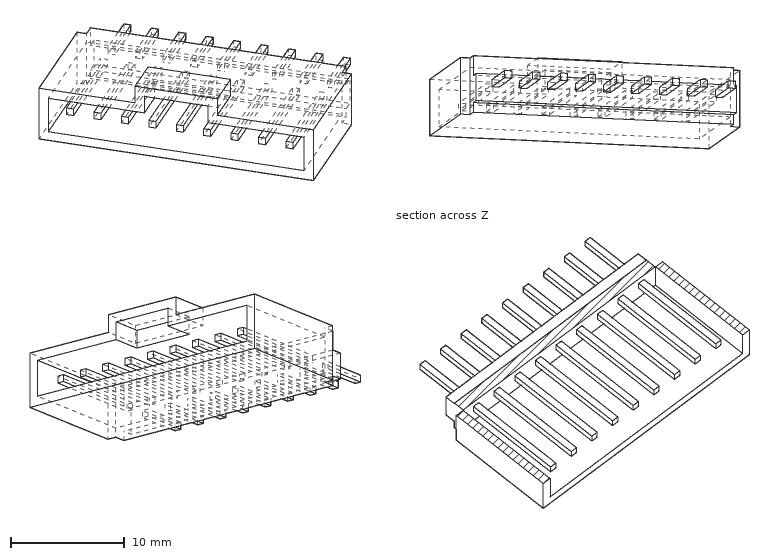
import cadquery as cq

total_length = 17.78
housing_width = 25.4
housing_height = 5.08
total_height = 6.73
wall = 0.87

wide_length = 11.0
shoulder_length = 1.14
tail_length = 1.04
cavity_depth = wide_length

rear_width = housing_width - 2 * wall
tail_bottom = wall
tail_height = 2.44

key_width = 7.62
key_length = 3.8

pin_count = 9
pin_pitch = 2.54
pin_size = 0.65
pin_tip_setback = 1.27
row_center_x = -0.07
pin_center_z = 2.48

shoulder_end = wide_length + shoulder_length
tail_end = shoulder_end + tail_length


def block(width, y_start, y_end, z_bottom, z_top, x_center=0):
    """Box centred on x_center in X, spanning the given Y and Z limits."""
    return (
        cq.Workplane("XY")
        .box(width, y_end - y_start, z_top - z_bottom, centered=(True, False, False))
        .translate((x_center, y_start, z_bottom))
    )


def make_housing():
    """Stepped outer body with the polarizing key on top."""
    wide_body = block(housing_width, 0, wide_length, 0, housing_height)
    shoulder = block(rear_width, wide_length, shoulder_end, 0, housing_height)
    tail = block(rear_width, shoulder_end, tail_end, tail_bottom, tail_bottom + tail_height)
    key = block(key_width, 0, key_length, housing_height, total_height)
    return wide_body.union(shoulder).union(tail).union(key)


def make_cavity():
    """Mating cavity, opened upward into the key to leave even walls."""
    main = block(housing_width - 2 * wall, 0, cavity_depth, wall, housing_height - wall)
    key_slot = block(key_width - 2 * wall, 0, key_length - wall, wall, total_height - wall)
    return main.union(key_slot)


def make_pin(x_center):
    """Straight square pin running through the housing."""
    half = pin_size / 2
    return block(pin_size, pin_tip_setback, total_length, pin_center_z - half, pin_center_z + half, x_center)


result = make_housing().cut(make_cavity())
for index in range(pin_count):
    pin_x = row_center_x + (index - (pin_count - 1) / 2) * pin_pitch
    result = result.union(make_pin(pin_x))